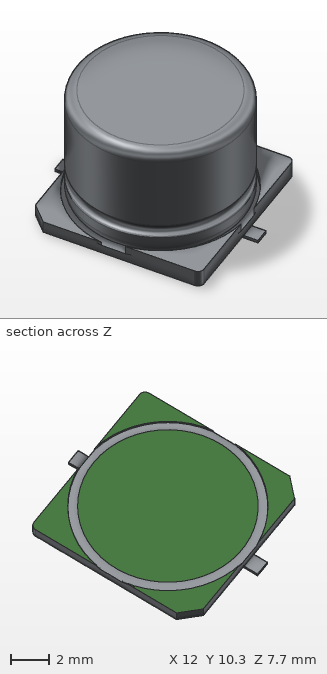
import cadquery as cq

total_length = 12.0
total_height = 7.7

base_width = 10.3
base_bottom = 0.17
low_top = 0.88
high_top = 1.16
pocket_floor = 0.67
pocket_radius = 5.2
corner_chamfer = 1.0
corner_radius = 0.36

can_radius = 10.0 / 2
can_rounding = 0.65
groove_bottom = 1.93
groove_top = 2.7
groove_depth = 0.36
groove_lip_rounding = 0.05

lead_width = 0.89
lead_thickness = base_bottom
lead_inner_end = 2.3


def make_base():
    """Square plate, taller on its +X half, with a round pocket cut through its sides."""
    base = (
        cq.Workplane("XY")
        .workplane(offset=base_bottom)
        .rect(base_width, base_width)
        .extrude(high_top - base_bottom)
    )
    base = base.edges("|Z and <X").chamfer(corner_chamfer)
    base = base.edges("|Z and >X").fillet(corner_radius)
    step = (
        cq.Workplane("XY")
        .workplane(offset=low_top)
        .center(-base_width / 4, 0)
        .rect(base_width / 2, base_width)
        .extrude(high_top - low_top)
    )
    pocket = (
        cq.Workplane("XY")
        .workplane(offset=pocket_floor)
        .circle(pocket_radius)
        .extrude(high_top - pocket_floor)
    )
    return base.cut(step).cut(pocket)


def make_can():
    """Revolved can with rounded ends and a rolled groove near the bottom."""
    can = (
        cq.Workplane("XY")
        .workplane(offset=pocket_floor)
        .circle(can_radius)
        .extrude(total_height - pocket_floor)
        .faces("<Z or >Z")
        .edges()
        .fillet(can_rounding)
    )
    groove_middle = (groove_bottom + groove_top) / 2
    groove = (
        cq.Workplane("XZ")
        .moveTo(can_radius, groove_bottom)
        .threePointArc((can_radius - groove_depth, groove_middle), (can_radius, groove_top))
        .close()
        .revolve(360, (0, 0, 0), (0, 1, 0))
    )
    can = can.cut(groove)
    lips = can.edges("%CIRCLE").edges(
        cq.selectors.BoxSelector(
            (-can_radius, -can_radius, groove_bottom - groove_lip_rounding),
            (can_radius, can_radius, groove_top + groove_lip_rounding),
        )
    ).edges(cq.selectors.RadiusNthSelector(-1))
    return lips.fillet(groove_lip_rounding)


def make_lead():
    """Lead on the +X side: square outer end and a half-round inner end."""
    half_width = lead_width / 2
    outer_end = total_length / 2
    round_start = lead_inner_end + half_width
    return (
        cq.Workplane("XY")
        .moveTo(outer_end, -half_width)
        .lineTo(outer_end, half_width)
        .lineTo(round_start, half_width)
        .threePointArc((lead_inner_end, 0), (round_start, -half_width))
        .close()
        .extrude(lead_thickness)
    )


result = make_base().union(make_can())
for angle in (0, 180):
    lead = make_lead().rotate((0, 0, 0), (0, 0, 1), angle)
    result = result.union(lead)